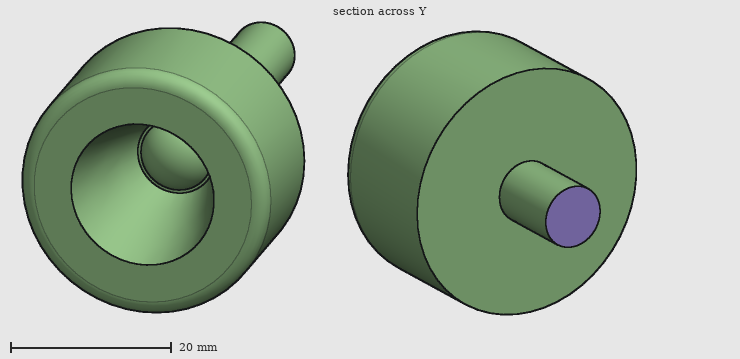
import cadquery as cq

total_length = 58.0
head_diameter = 32.0
head_length = 18.0
head_edge_radius = 2.0
stem_diameter = 8.0
stem_tip_chamfer = 0.6

recess_mouth_diameter = 18.45
recess_floor_diameter = 10.0
recess_depth = 16.0
ball_diameter = recess_floor_diameter


def cylinder_along_y(diameter, start, length):
    """Cylinder on the Y axis from Y = start towards +Y."""
    plane = cq.Workplane("XZ", origin=(0, start, 0))
    return plane.circle(diameter / 2).extrude(-length)


head = cylinder_along_y(head_diameter, 0, head_length)
head = head.faces("<Y").edges().fillet(head_edge_radius)

stem = cylinder_along_y(stem_diameter, head_length, total_length - head_length)
stem = stem.faces(">Y").edges().chamfer(stem_tip_chamfer)

recess = cq.Workplane(
    cq.Solid.makeCone(
        recess_mouth_diameter / 2,
        recess_floor_diameter / 2,
        recess_depth,
        pnt=cq.Vector(0, 0, 0),
        dir=cq.Vector(0, 1, 0),
    )
)

ball = cq.Workplane("XY").sphere(ball_diameter / 2).translate((0, head_length, 0))
ball = ball.intersect(cylinder_along_y(head_diameter, 0, head_length))

result = head.union(stem).cut(recess).union(ball)